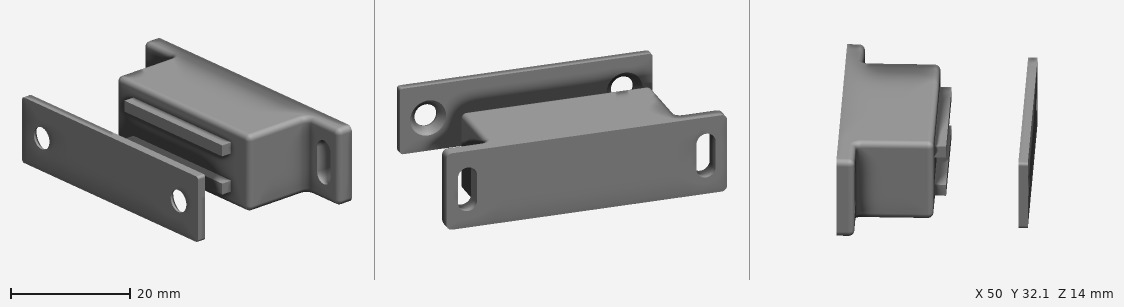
import cadquery as cq

housing_length = 50.0
housing_height = 14.0
housing_depth = 16.0
block_length = 34.0
ear_thickness = 3.0
edge_radius = 1.0

slot_width = 3.4
slot_height = 8.0
slot_spacing = 42.5

strip_length = 25.0
strip_height = 2.0
strip_projection = 2.0
strip_spacing = 7.0

plate_length = 45.0
plate_height = 12.0
plate_thickness = 1.6
plate_corner_radius = 0.5
plate_hole_diameter = 4.0
plate_hole_spacing = 35.0
countersink_diameter = 6.4
countersink_angle = 90.0
plate_gap = 12.5

block_front = -housing_depth
strip_front = block_front - strip_projection
plate_back = strip_front - plate_gap


def make_housing():
    """Block and ears, rounded on every edge except those of the back face."""
    ears = cq.Workplane("XY").box(
        housing_length, ear_thickness, housing_height, centered=(True, False, True)
    ).translate((0, -ear_thickness, 0))
    block = cq.Workplane("XY").box(
        block_length, housing_depth, housing_height, centered=(True, False, True)
    ).translate((0, block_front, 0))
    body = ears.union(block).clean()
    body = body.edges("not(>Y)").fillet(edge_radius)

    slots = (
        cq.Workplane("XZ")
        .pushPoints([(-slot_spacing / 2, 0), (slot_spacing / 2, 0)])
        .slot2D(slot_height, slot_width, 90)
        .extrude(ear_thickness)
    )
    return body.cut(slots)


def make_pole_strip(center_z):
    """Plain bar whose back face rests on the front of the block."""
    return (
        cq.Workplane("XZ", origin=(0, block_front, center_z))
        .rect(strip_length, strip_height)
        .extrude(strip_projection)
    )


def make_strike_plate():
    """Flat plate with rounded corners and two holes countersunk from the back."""
    plate = (
        cq.Workplane("XZ", origin=(0, plate_back, 0))
        .rect(plate_length, plate_height)
        .extrude(plate_thickness)
        .edges("|Y")
        .fillet(plate_corner_radius)
    )
    return (
        plate.faces(">Y")
        .workplane(centerOption="CenterOfBoundBox")
        .pushPoints([(-plate_hole_spacing / 2, 0), (plate_hole_spacing / 2, 0)])
        .cskHole(plate_hole_diameter, countersink_diameter, countersink_angle)
    )


housing = make_housing()
strike_plate = make_strike_plate()
pole_strips = []
for side in (-1, 1):
    pole_strips.append(make_pole_strip(side * strip_spacing / 2).val())

result = cq.Compound.makeCompound([housing.val(), *pole_strips, strike_plate.val()])